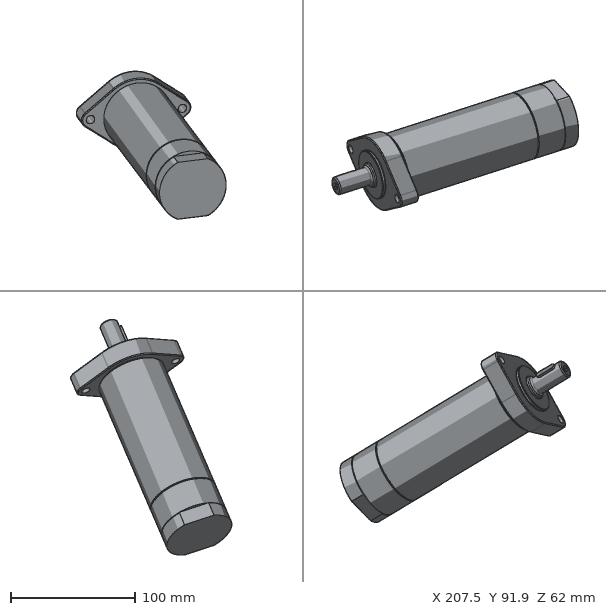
import cadquery as cq
import math

length = 207.5
seal_start = 29.7
pilot_start = 32.0
pilot_undercut_start = 34.5
flange_start = 35.0
flange_end = 51.0
body_start = 52.9
groove_start = 170.3
groove_end = 171.3
cap_start = 195.2

shaft_diameter = 15.0
shaft_chamfer = 1.0
shaft_fillet = 1.5
seal_diameter = 20.0
seal_chamfer = 1.0
seal_bore_diameter = 21.0
seal_bore_depth = 1.0
pilot_diameter = 40.9
pilot_chamfer = 0.6
pilot_undercut_diameter = 40.0
body_diameter = 56.0
neck_diameter = 52.0

flange_length = 91.9
flange_height = 62.0
flange_chamfer = 0.8
hole_offset = 38.5
hole_diameter = 7.0

cap_flat_height = 50.0
cap_chamfer = 0.5
key_start = 5.2
key_length = 17.8
key_width = 5.0
key_top = 9.0
key_depth = 5.0
center_hole_diameter = 4.0
center_hole_depth = 10.4
countersink_diameter = 5.5


def cylinder(start, end, diameter):
    """Solid cylinder on the motor axis between two stations."""
    return cq.Workplane("YZ", origin=(start, 0, 0)).circle(diameter / 2).extrude(end - start)


def make_flange():
    """Diamond flange: a large middle arc joined by tangent lines to two small end arcs."""
    middle_radius = flange_height / 2
    end_radius = flange_length / 2 - hole_offset
    tangent_sin = (middle_radius - end_radius) / hole_offset
    tangent_cos = math.sqrt(1 - tangent_sin**2)
    middle_y = middle_radius * tangent_sin
    middle_z = middle_radius * tangent_cos
    end_y = hole_offset + end_radius * tangent_sin
    end_z = end_radius * tangent_cos
    return (
        cq.Workplane("YZ", origin=(flange_start, 0, 0))
        .moveTo(-middle_y, middle_z)
        .threePointArc((0, middle_radius), (middle_y, middle_z))
        .lineTo(end_y, end_z)
        .threePointArc((flange_length / 2, 0), (end_y, -end_z))
        .lineTo(middle_y, -middle_z)
        .threePointArc((0, -middle_radius), (-middle_y, -middle_z))
        .lineTo(-end_y, -end_z)
        .threePointArc((-flange_length / 2, 0), (-end_y, end_z))
        .close()
        .extrude(flange_end - flange_start)
        .faces("<X or >X")
        .chamfer(flange_chamfer)
        .faces("<X")
        .workplane(origin=(flange_start, 0, 0))
        .pushPoints([(-hole_offset, 0), (hole_offset, 0)])
        .hole(hole_diameter)
    )


def make_pilot():
    """Locating spigot with an undercut at its root and a shallow bore around the shaft seal."""
    spigot = cylinder(pilot_start, pilot_undercut_start, pilot_diameter)
    spigot = spigot.faces("<X").edges().chamfer(pilot_chamfer)
    undercut = cylinder(pilot_undercut_start, flange_start, pilot_undercut_diameter)
    seal_bore = cylinder(pilot_start, pilot_start + seal_bore_depth, seal_bore_diameter)
    return spigot.union(undercut).cut(seal_bore)


def make_shaft():
    """Output shaft, filleted where it meets the bevelled seal collar."""
    collar = cylinder(seal_start, flange_start, seal_diameter).faces("<X").edges().chamfer(seal_chamfer)
    shaft = cylinder(0, flange_start, shaft_diameter).faces("<X").edges().chamfer(shaft_chamfer)
    shaft_radius = shaft_diameter / 2
    fillet_start = seal_start - shaft_fillet
    fillet_mid = shaft_fillet * math.sqrt(0.5)
    fillet = (
        cq.Workplane("XY")
        .moveTo(fillet_start, 0)
        .lineTo(fillet_start, shaft_radius)
        .threePointArc(
            (fillet_start + fillet_mid, shaft_radius + shaft_fillet - fillet_mid),
            (seal_start, shaft_radius + shaft_fillet),
        )
        .lineTo(seal_start, 0)
        .close()
        .revolve(360, (0, 0, 0), (1, 0, 0))
    )
    return shaft.union(collar).union(fillet)


def make_body():
    """Gearbox and motor barrels, separated from the flange and each other by grooves."""
    core = cylinder(flange_end, cap_start, neck_diameter)
    gearbox = cylinder(body_start, groove_start, body_diameter)
    motor = cylinder(groove_end, cap_start, body_diameter)
    return core.union(gearbox).union(motor)


def make_end_cap():
    """Rear cap with a chamfered front edge and flats on its top and bottom."""
    cap_length = length - cap_start
    flats = cq.Workplane("XY").box(cap_length, body_diameter, cap_flat_height).translate(
        (cap_start + cap_length / 2, 0, 0)
    )
    cap = cylinder(cap_start, length, body_diameter).faces("<X").edges().chamfer(cap_chamfer)
    return cap.intersect(flats)


def make_key():
    """Parallel key with round ends on the +Y side of the shaft."""
    return (
        cq.Workplane("XZ", origin=(key_start + key_length / 2, key_top, 0))
        .slot2D(key_length, key_width)
        .extrude(key_depth)
    )


def make_center_hole():
    """Countersunk hole in the shaft tip."""
    return (
        cq.Workplane("XY")
        .lineTo(0, countersink_diameter / 2)
        .lineTo((countersink_diameter - center_hole_diameter) / 2, center_hole_diameter / 2)
        .lineTo(center_hole_depth, center_hole_diameter / 2)
        .lineTo(center_hole_depth + center_hole_diameter / 2, 0)
        .close()
        .revolve(360, (0, 0, 0), (1, 0, 0))
    )


result = (
    make_flange()
    .union(make_pilot())
    .union(make_shaft())
    .union(make_body())
    .union(make_end_cap())
    .union(make_key())
    .cut(make_center_hole())
)